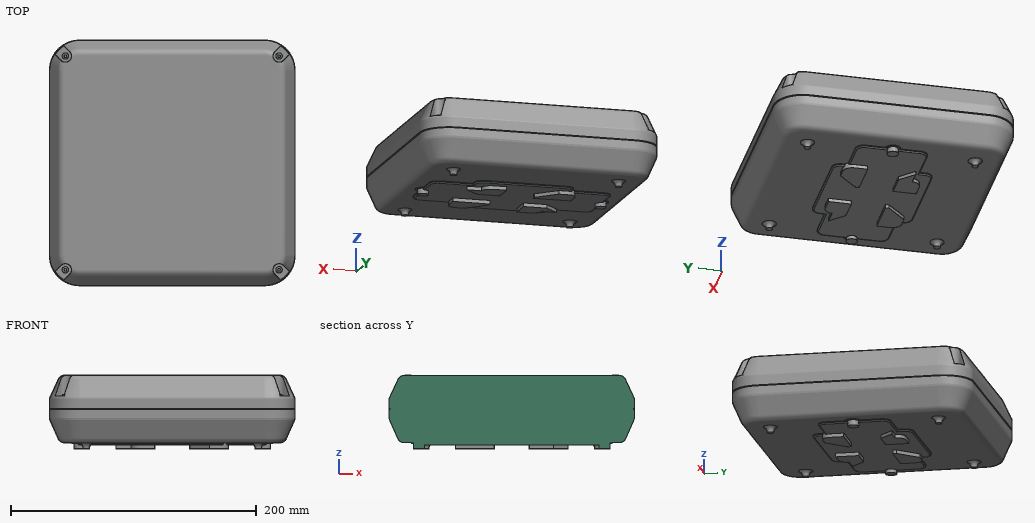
import cadquery as cq
import math

side = 200.0
half = side / 2
total_height = 60.0
corner_radius = 24.5

plate_z = 3.0
base_z = 4.8
taper_bottom_z = 23.5
wall_bottom_z = 25.0
seam_z = 32.0
seam_height = 0.5
wall_top_z = 40.5
lid_z = 41.5
notch_floor_z = 43.0

base_taper = 24.0
lid_taper = 25.0
seam_depth = 0.5
rim_fillet = 6.0

screw_offset = 87.0
notch_radius = 5.0
screw_radius = 2.5
screw_height = 1.2
screw_dome = 1.0
socket_radius = 1.2
socket_depth = 0.8

plate_side = 83.5
wing_length = 153.2
wing_width = 60.0
plate_corner = 7.0
plate_chamfer = 1.0

post_offset = 70.0
post_radius = 2.5
post_root_radius = 5.8
peg_offset = 75.5
peg_radius = 4.5
peg_collar_radius = 6.5
peg_collar_z = 4.5

pad_inner = 14.2
pad_depth = 33.5
pad_reach = 45.8
pad_round = 8.0
pad_bevel = 16.0
arm_depth = 26.0


def rounded_square(inset, z):
    """Enclosure outline moved inward by inset, on the plane at height z."""
    return (
        cq.Workplane("XY", origin=(0, 0, z))
        .sketch()
        .rect(side - 2 * inset, side - 2 * inset)
        .vertices()
        .fillet(corner_radius - inset)
        .finalize()
    )


def slab(inset, bottom, top):
    return rounded_square(inset, bottom).extrude(top - bottom)


def box_plate(length, width, corner, bottom, top):
    plate = cq.Workplane("XY", origin=(0, 0, bottom)).rect(length, width).extrude(top - bottom)
    return plate.edges("|Z").fillet(corner)


def post(x, y, radius, bottom, top):
    return cq.Workplane("XY", origin=(x, y, bottom)).circle(radius).extrude(top - bottom)


def tapered_cap(wall_z, band_z, end_z, taper):
    """Cap leaning inward in two steps, a narrow half-angle band then the full taper, with a rounded rim."""
    half_taper = taper / 2
    band_inset = abs(band_z - wall_z) * math.tan(math.radians(half_taper))
    band = rounded_square(0, wall_z).extrude(band_z - wall_z, taper=half_taper)
    cap = rounded_square(band_inset, band_z).extrude(end_z - band_z, taper=taper)
    rim = ">Z" if end_z > wall_z else "<Z"
    return cap.faces(rim).edges().fillet(rim_fillet).union(band)


def make_shell():
    shell = tapered_cap(wall_bottom_z, taper_bottom_z, base_z, base_taper)
    shell = shell.union(slab(0, wall_bottom_z, seam_z))
    shell = shell.union(slab(seam_depth, seam_z, seam_z + seam_height))
    shell = shell.union(slab(0, seam_z + seam_height, wall_top_z))
    return shell.union(tapered_cap(wall_top_z, lid_z, total_height, lid_taper))


def make_notch():
    """Channel opening along +X from the screw axis, with a round end behind the screw."""
    height = total_height - notch_floor_z
    floor = cq.Workplane("XY", origin=(0, 0, notch_floor_z))
    channel = floor.center(half / 2, 0).rect(half, 2 * notch_radius).extrude(height)
    well = floor.circle(notch_radius).extrude(height)
    return channel.union(well)


def make_screw_head():
    """Domed head standing on the notch floor, with a hexagonal socket."""
    head = cq.Workplane("XY", origin=(0, 0, notch_floor_z)).circle(screw_radius).extrude(screw_height)
    head = head.faces(">Z").edges().fillet(screw_dome)
    return head.faces(">Z").workplane().polygon(6, 2 * socket_radius).cutBlind(-socket_depth)


def make_plate():
    core = box_plate(plate_side, plate_side, plate_corner, plate_z, base_z)
    wings = box_plate(wing_length, wing_width, plate_corner, plate_z, base_z)
    return core.union(wings).faces("<Z").edges().chamfer(plate_chamfer)


def make_flared_post(x, y):
    """Post that leaves its foot end upright and spreads in a hollow arc to the base."""
    spread = post_root_radius - post_radius
    flare_radius = (spread**2 + base_z**2) / (2 * spread)
    profile = (
        cq.Workplane("XZ")
        .moveTo(0, 0)
        .lineTo(post_radius, 0)
        .radiusArc((post_root_radius, base_z), flare_radius)
        .lineTo(0, base_z)
        .close()
    )
    return profile.revolve(360, (0, 0), (0, 1)).translate((x, y, 0))


def make_beveled_pad():
    """Pad in the +X -Y quadrant: bevelled inner corner and rounded outer corner."""
    pad = (
        cq.Workplane("XY")
        .moveTo(pad_inner, -pad_inner)
        .lineTo(pad_inner, pad_bevel - pad_depth)
        .lineTo(pad_inner + pad_bevel, -pad_depth)
        .lineTo(pad_reach - pad_round, -pad_depth)
        .radiusArc((pad_reach, pad_round - pad_depth), -pad_round)
        .lineTo(pad_reach, -pad_inner)
        .close()
    )
    return pad.extrude(base_z)


def make_armed_pad():
    """Pad in the -X -Y quadrant: rounded block with a slanted arm reaching outward."""
    slant = arm_depth - pad_inner
    pad = (
        cq.Workplane("XY")
        .moveTo(-pad_inner, -pad_inner)
        .lineTo(slant - pad_reach, -pad_inner)
        .lineTo(-pad_reach, -arm_depth)
        .lineTo(-pad_depth, -arm_depth)
        .radiusArc((pad_round - pad_depth, -pad_depth), -pad_round)
        .lineTo(-pad_inner, -pad_depth)
        .close()
    )
    return pad.extrude(base_z)


result = make_shell().union(make_plate())

notch = make_notch()
screw_head = make_screw_head()
for sx in (-1, 1):
    for sy in (-1, 1):
        outward = math.degrees(math.atan2(sy, sx))
        screw_axis = (sx * screw_offset, sy * screw_offset, 0)
        turned_notch = notch.rotate((0, 0, 0), (0, 0, 1), outward)
        result = result.cut(turned_notch.translate(screw_axis))
        result = result.union(screw_head.translate(screw_axis))
        result = result.union(make_flared_post(sx * post_offset, sy * post_offset))

for sx in (-1, 1):
    result = result.union(post(sx * peg_offset, 0, peg_collar_radius, peg_collar_z, base_z))
    result = result.union(post(sx * peg_offset, 0, peg_radius, 0, base_z))

for turn in (0, 180):
    for pad in (make_beveled_pad(), make_armed_pad()):
        result = result.union(pad.rotate((0, 0, 0), (0, 0, 1), turn))